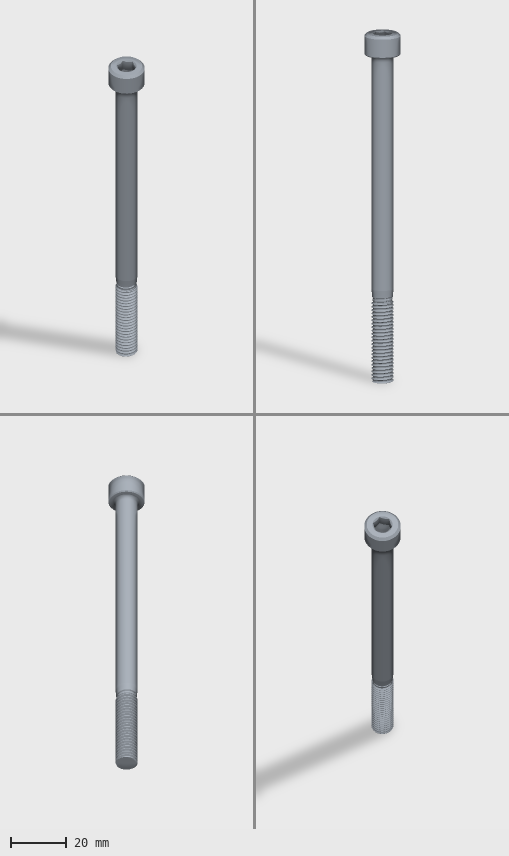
import cadquery as cq
import math

total_length = 128.0
head_diameter = 13.0
head_height = 8.0
head_top_chamfer = 0.9
head_bottom_chamfer = 0.4

shank_diameter = 8.0
underhead_fillet_height = 1.0
underhead_fillet_width = 0.6

socket_across_flats = 6.0
socket_depth = 4.0
socket_mouth_diameter = 7.2
socket_cone_angle = 120.0

thread_pitch = 1.25
thread_root_diameter = 6.7
thread_flank_angle = 60.0
thread_top = 29.2
neck_top = 34.0
neck_diameter = 7.0
groove_turns = 26
groove_start = -1.5
groove_overrun = 0.04

head_bottom = total_length - head_height
shank_radius = shank_diameter / 2


def make_head():
    """Cylindrical head, chamfered at the top rim and more lightly at the bottom rim."""
    head = cq.Workplane("XY").workplane(offset=head_bottom).circle(head_diameter / 2).extrude(head_height)
    head = head.faces(">Z").edges().chamfer(head_top_chamfer)
    return head.faces("<Z").edges().chamfer(head_bottom_chamfer)


def make_shank():
    """Revolve the shank, with its tapered neck above the thread and its concave fillet under the head."""
    neck_radius = neck_diameter / 2
    fillet_bottom = head_bottom - underhead_fillet_height
    fillet_outer = shank_radius + underhead_fillet_width
    return (
        cq.Workplane("XZ")
        .lineTo(shank_radius, 0)
        .lineTo(shank_radius, thread_top)
        .lineTo(neck_radius, thread_top)
        .lineTo(shank_radius, neck_top)
        .lineTo(shank_radius, fillet_bottom)
        .tangentArcPoint((fillet_outer, head_bottom), relative=False)
        .lineTo(0, head_bottom)
        .close()
        .revolve(360, (0, 0), (0, 1))
    )


def make_socket():
    """Hexagonal socket, corners on the Y axis, with a conical floor and a countersunk mouth."""
    circumscribed = socket_across_flats / math.cos(math.pi / 6)
    cone_radius = circumscribed / 2
    cone_depth = cone_radius / math.tan(math.radians(socket_cone_angle / 2))
    hexagon_depth = socket_depth + cone_depth
    hexagon = (
        cq.Workplane("XY")
        .workplane(offset=total_length - hexagon_depth)
        .transformed(rotate=(0, 0, 90))
        .polygon(6, circumscribed)
        .extrude(hexagon_depth)
    )
    drill = (
        cq.Workplane("XZ", origin=(0, 0, total_length))
        .lineTo(cone_radius, 0)
        .lineTo(cone_radius, -socket_depth)
        .lineTo(0, -hexagon_depth)
        .close()
        .revolve(360, (0, 0), (0, 1))
    )
    mouth_radius = socket_mouth_diameter / 2
    countersink = (
        cq.Workplane("XZ", origin=(0, 0, total_length))
        .lineTo(mouth_radius, 0)
        .lineTo(0, -mouth_radius)
        .close()
        .revolve(360, (0, 0), (0, 1))
    )
    return hexagon.intersect(drill).union(countersink)


def make_thread_groove():
    """Right-hand helical V groove from below the tip up into the neck, built one turn at a time."""
    root_radius = thread_root_diameter / 2
    outer_radius = shank_radius + groove_overrun
    flank_slope = math.tan(math.radians(thread_flank_angle / 2))
    crest_flat = thread_pitch / 8
    crest_half_gap = (thread_pitch - crest_flat) / 2
    root_half_gap = crest_half_gap - (shank_radius - root_radius) * flank_slope
    outer_half_gap = crest_half_gap + groove_overrun * flank_slope

    profile = [
        (root_radius, -root_half_gap),
        (outer_radius, -outer_half_gap),
        (outer_radius, outer_half_gap),
        (root_radius, root_half_gap),
    ]
    faces = []
    for turn in range(groove_turns):
        turn_bottom = groove_start + turn * thread_pitch
        corner_helices = [
            cq.Wire.makeHelix(thread_pitch, thread_pitch, radius, center=cq.Vector(0, 0, turn_bottom + height))
            for radius, height in profile
        ]
        for index, helix in enumerate(corner_helices):
            faces.append(cq.Face.makeRuledSurface(corner_helices[index - 1], helix))

    groove_end = groove_start + groove_turns * thread_pitch
    for end_height in (groove_start, groove_end):
        corners = [cq.Vector(radius, 0, end_height + height) for radius, height in profile]
        faces.append(cq.Face.makeFromWires(cq.Wire.makePolygon(corners, close=True)))
    return cq.Workplane(cq.Solid.makeSolid(cq.Shell.makeShell(faces)))


threaded_shank = make_shank().cut(make_thread_groove(), clean=False)
head = make_head()
screw = threaded_shank.union(head, clean=False).cut(make_socket(), clean=False)
result = screw.solids()